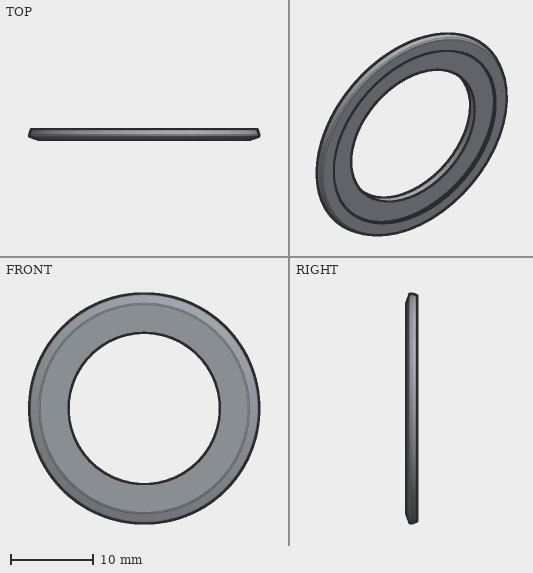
import cadquery as cq
import math

outer_radius = 13.98
bore_radius = 9.17
recess_radius = 12.02
thickness = 1.37
web_thickness = 1.0
taper_angle = math.radians(19)
rim_round = 0.25
front_round = 0.5
crest_center_depth = 0.75

front_y = -thickness / 2
back_y = thickness / 2
recess_floor_y = front_y + web_thickness

sine = math.sin(taper_angle)
cosine = math.cos(taper_angle)
slope = math.tan(taper_angle)
crest_radius = outer_radius - rim_round + rim_round * (cosine + sine)
crest_depth = crest_center_depth + rim_round * (cosine - sine)
crest_y = back_y - crest_depth
back_radius = crest_radius - crest_depth * slope
front_radius = crest_radius - (thickness - crest_depth) / slope

section = [
    (front_y, bore_radius),
    (front_y, front_radius),
    (crest_y, crest_radius),
    (back_y, back_radius),
    (back_y, recess_radius),
    (recess_floor_y, recess_radius),
    (recess_floor_y, bore_radius),
]
ring = cq.Workplane("YZ").polyline(section).close().revolve(360, (0, 0), (1, 0))

outer_edge = cq.selectors.RadiusNthSelector(-1)
ring = ring.edges(outer_edge).fillet(rim_round)
ring = ring.faces(">Y").edges(outer_edge).fillet(rim_round)
result = ring.faces("<Y").edges(outer_edge).fillet(front_round)